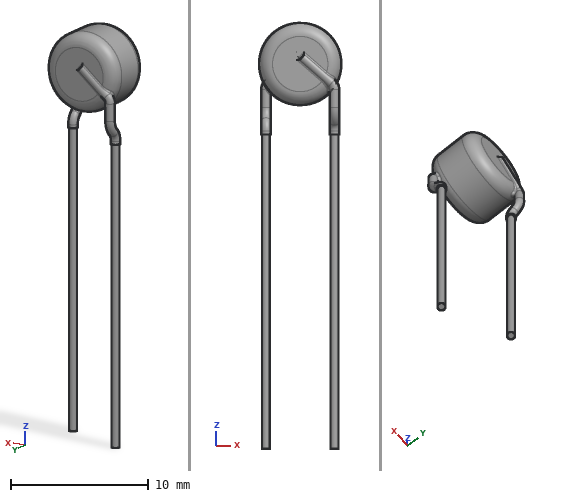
import cadquery as cq
import math

body_diameter = 6.0
body_thickness = 4.35
body_fillet = 1.0

overall_height = 31.0
coating_diameter = 0.7
wire_diameter = 0.6
lead_pitch = 5.0
coating_span_y = 4.7
wire_y = 1.2
tip_x = 0.12
tip_z = 0.5
shoulder_z = -1.85
shoulder_radius = 0.62
kink_z = -3.15
kink_angle = 50.0
kink_upper_share = 0.6
coating_end_z = -5.1
joint_fillet = 0.15
touch_tolerance = 0.0003

body_radius = body_diameter / 2
lead_x = lead_pitch / 2
coating_y = (coating_span_y - coating_diameter) / 2
wire_end_z = body_radius - overall_height


def bend(start, across, along, radius, angle):
    """Middle and end points of an arc that leaves start along `along` and turns towards `across`."""
    points = []
    for turn in (angle / 2, angle):
        offset = across * (radius * (1 - math.cos(turn))) + along * (radius * math.sin(turn))
        points.append(start + offset)
    return points


def shoulder_angle():
    """Turn from vertical that makes the slanted run reach the tip tangentially."""
    rise = tip_z - shoulder_z
    run = lead_x - shoulder_radius - tip_x
    distance = math.hypot(rise, run)
    return math.atan2(run, rise) + math.asin(shoulder_radius / distance)


def make_body():
    """Disc with rounded rims on both faces."""
    back_face = cq.Workplane("XZ", origin=(0, body_thickness / 2, 0))
    disc = back_face.circle(body_radius).extrude(body_thickness)
    return disc.faces("|Y").edges().fillet(body_fillet)


def coating_path():
    """Centre line of the front coated lead, from its tip down to the bare wire."""
    up = cq.Vector(0, 0, 1)
    down = cq.Vector(0, 0, -1)
    to_left = cq.Vector(-1, 0, 0)
    inward = cq.Vector(0, 1, 0)
    outward = cq.Vector(0, -1, 0)

    tip = cq.Vector(tip_x, -coating_y, tip_z)
    shoulder = cq.Vector(lead_x, -coating_y, shoulder_z)
    shoulder_mid, shoulder_end = bend(shoulder, to_left, up, shoulder_radius, shoulder_angle())

    kink = math.radians(kink_angle)
    total_radius = (coating_y - wire_y) / (1 - math.cos(kink))
    upper_radius = kink_upper_share * total_radius
    lower_radius = total_radius - upper_radius
    kink_start = cq.Vector(lead_x, -coating_y, kink_z)
    kink_end = cq.Vector(lead_x, -wire_y, kink_z - total_radius * math.sin(kink))
    upper_mid, kink_middle = bend(kink_start, inward, down, upper_radius, kink)
    lower_mid, _ = bend(kink_end, outward, up, lower_radius, kink)
    coating_end = cq.Vector(lead_x, -wire_y, coating_end_z)

    edges = [
        cq.Edge.makeLine(tip, shoulder_end),
        cq.Edge.makeThreePointArc(shoulder_end, shoulder_mid, shoulder),
        cq.Edge.makeLine(shoulder, kink_start),
        cq.Edge.makeThreePointArc(kink_start, upper_mid, kink_middle),
        cq.Edge.makeThreePointArc(kink_middle, lower_mid, kink_end),
        cq.Edge.makeLine(kink_end, coating_end),
    ]
    return cq.Wire.assembleEdges(edges)


def make_lead():
    """Front lead: a bent coated section ending in a thinner straight wire."""
    path = coating_path()
    tip_plane = cq.Plane(origin=path.startPoint(), xDir=(0, 1, 0), normal=path.tangentAt(0))
    coating = cq.Workplane(tip_plane).circle(coating_diameter / 2).sweep(cq.Workplane(path))
    wire = (
        cq.Workplane("XY", origin=(lead_x, -wire_y, wire_end_z))
        .circle(wire_diameter / 2)
        .extrude(coating_end_z - wire_end_z)
    )
    return coating.union(wire)


def attach(body, lead):
    """Join a lead to the body and fillet the curve where their surfaces meet."""
    joined = body.union(lead)
    skins = [part.val().Shells()[0] for part in (body, lead)]

    def on_both(edge):
        middle = cq.Vertex.makeVertex(*edge.positionAt(0.5).toTuple())
        return all(middle.distance(skin) < touch_tolerance for skin in skins)

    joint = [edge for edge in joined.edges().vals() if on_both(edge)]
    return joined.newObject(joint).fillet(joint_fillet)


front_lead = make_lead()
back_lead = front_lead.rotate((0, 0, 0), (0, 0, 1), 180)
result = attach(attach(make_body(), front_lead), back_lead)